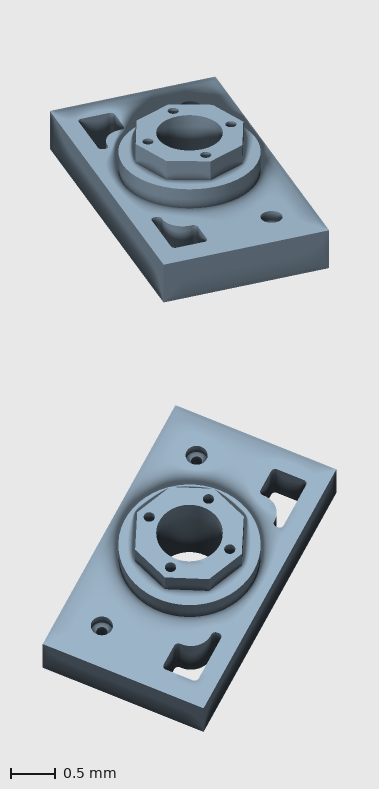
import cadquery as cq

plate_length = 3.5
plate_width = 2.0
plate_height = 0.5

flange_diameter = 1.6
flange_height = 0.252
boss_sides = 8
boss_corner_diameter = 1.3
boss_height = 0.25
bore_diameter = 0.75

pin_count = 4
pin_diameter = 0.125
pin_circle_radius = 0.5
pin_depth = boss_height

mount_x = 1.25
mount_y = 0.5
mount_diameter = 0.125
counterbore_diameter = 0.25
counterbore_depth = 0.125

window_outer_x = 1.465
window_shoulder_x = 1.09
window_tip_x = 0.777
window_top_y = -0.345
window_bottom_y = -0.78
window_arc_radius = 0.25
window_tip_height = 0.12
window_corner_radius = 0.05

flange_top = plate_height + flange_height
overall_height = flange_top + boss_height


def make_body():
    plate = cq.Workplane("XY").box(plate_length, plate_width, plate_height, centered=(True, True, False))
    flange = cq.Workplane("XY").workplane(offset=plate_height).circle(flange_diameter / 2).extrude(flange_height)
    boss = (
        cq.Workplane("XY")
        .workplane(offset=flange_top)
        .polygon(boss_sides, boss_corner_diameter)
        .extrude(boss_height)
    )
    return plate.union(flange).union(boss)


def make_window():
    """Cutter for the window on the -X side."""
    tip_top_y = window_bottom_y + window_tip_height
    arc_start_y = tip_top_y + window_arc_radius
    arc_end_x = -window_shoulder_x + window_arc_radius
    outline = (
        cq.Workplane("XY")
        .moveTo(-window_outer_x, window_bottom_y)
        .lineTo(-window_outer_x, window_top_y)
        .lineTo(-window_shoulder_x, window_top_y)
        .lineTo(-window_shoulder_x, arc_start_y)
        .radiusArc((arc_end_x, tip_top_y), -window_arc_radius)
        .lineTo(-window_tip_x, tip_top_y)
        .lineTo(-window_tip_x, window_bottom_y)
        .close()
    )
    corners = [
        (-window_outer_x, window_bottom_y),
        (-window_outer_x, window_top_y),
        (-window_shoulder_x, window_top_y),
        (-window_tip_x, tip_top_y),
        (-window_tip_x, window_bottom_y),
    ]
    cutter = outline.extrude(plate_height)
    for x, y in corners:
        corner_edge = cq.selectors.NearestToPointSelector((x, y, plate_height / 2))
        cutter = cutter.edges("|Z").edges(corner_edge).fillet(window_corner_radius)
    return cutter


def cut_bore_and_pin_holes(body):
    top = body.faces(">Z").workplane(origin=(0, 0, overall_height))
    bored = top.circle(bore_diameter / 2).cutThruAll()
    pins = (
        cq.Workplane("XY")
        .workplane(offset=overall_height - pin_depth)
        .polarArray(pin_circle_radius, 0, 360, pin_count)
        .circle(pin_diameter / 2)
        .extrude(pin_depth)
    )
    return bored.cut(pins)


def cut_mounting_holes(body):
    return (
        body.copyWorkplane(cq.Workplane("XY").workplane(offset=plate_height))
        .pushPoints([(-mount_x, mount_y), (mount_x, mount_y)])
        .cboreHole(mount_diameter, counterbore_diameter, counterbore_depth)
    )


body = cut_bore_and_pin_holes(make_body())
body = cut_mounting_holes(body)
window = make_window()
result = body.cut(window).cut(window.mirror("YZ"))